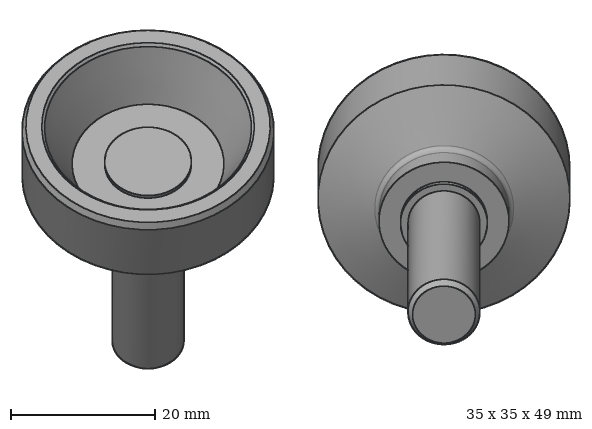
import cadquery as cq

total_height = 49.0
collar_bottom = 30.75

rim_radius = 17.5
rim_height = 11.02
rim_chamfer_width = 0.55
rim_chamfer_height = 1.0

collar_radius = 9.0
cone_height = 3.3
neck_fillet = 1.0

bowl_depth = 8.5
bowl_floor_radius = 10.55
bowl_mouth_radius = 14.35
bowl_chamfer = 0.4

stud_radius = 5.0
stud_chamfer_width = 0.65
stud_chamfer_height = 0.9
stud_length = 30.0
hub_radius = 6.05
hub_rise = 0.6

match_tolerance = 0.005

rim_bottom = total_height - rim_height
cone_bottom = rim_bottom - cone_height
bowl_floor = total_height - bowl_depth
hub_top = bowl_floor + hub_rise


def revolve_about_z(profile):
    """Revolve a closed outline of (radius, height) points about the Z axis."""
    return cq.Workplane("XZ").polyline(profile).close().revolve(360, (0, 0, 0), (0, 1, 0))


def make_knob():
    """Bowl-shaped knob with a conical underside, a collar and a bore for the hub."""
    body = revolve_about_z([
        (hub_radius, collar_bottom),
        (collar_radius, collar_bottom),
        (collar_radius, cone_bottom),
        (rim_radius, rim_bottom),
        (rim_radius, total_height - rim_chamfer_height),
        (rim_radius - rim_chamfer_width, total_height),
        (bowl_mouth_radius + bowl_chamfer, total_height),
        (bowl_mouth_radius, total_height - bowl_chamfer),
        (bowl_floor_radius, bowl_floor),
        (hub_radius, bowl_floor),
    ])
    neck_corner = cq.Vertex.makeVertex(collar_radius, 0, cone_bottom)
    neck_edge = body.edges("%CIRCLE").filter(lambda edge: edge.distance(neck_corner) < match_tolerance)
    return neck_edge.fillet(neck_fillet)


def make_stud():
    """Chamfered stud with a wider hub that fills the knob bore."""
    return revolve_about_z([
        (0, 0),
        (stud_radius - stud_chamfer_width, 0),
        (stud_radius, stud_chamfer_height),
        (stud_radius, stud_length),
        (hub_radius, stud_length),
        (hub_radius, hub_top),
        (0, hub_top),
    ])


knob = make_knob()
stud = make_stud()
result = cq.Compound.makeCompound([knob.val(), stud.val()])